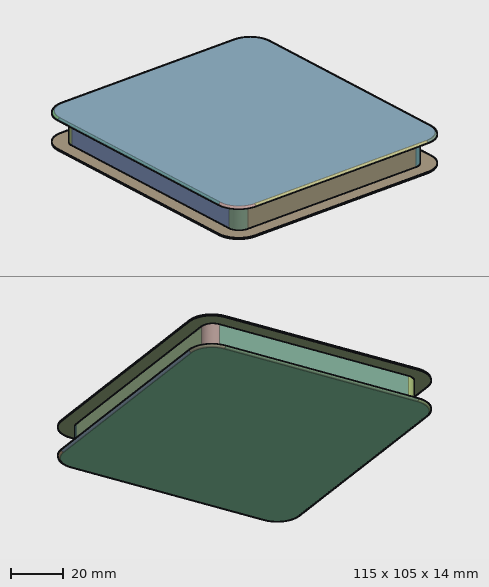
import cadquery as cq

length = 115.0
width = 105.0
height = 14.0

flange_thickness = 1.0
flange_corner_radius = 10.0
flange_rim_radius = 0.9

core_length = 103.0
core_width = 93.0
core_corner_radius = 5.0


def rounded_block(size_x, size_y, size_z, corner_radius):
    """Block standing on the XY plane with rounded vertical edges."""
    block = cq.Workplane("XY").box(size_x, size_y, size_z, centered=(True, True, False))
    return block.edges("|Z").fillet(corner_radius)


def make_top_flange():
    """Plate whose top rim is rounded, placed at the top of the part."""
    plate = rounded_block(length, width, flange_thickness, flange_corner_radius)
    plate = plate.faces(">Z").edges().fillet(flange_rim_radius)
    return plate.translate((0, 0, height / 2 - flange_thickness))


def make_core():
    """Block that spans the gap between the two flanges."""
    core_height = height - 2 * flange_thickness
    core = rounded_block(core_length, core_width, core_height, core_corner_radius)
    return core.translate((0, 0, -core_height / 2))


top_flange = make_top_flange()
bottom_flange = top_flange.mirror("XY")
result = make_core().union(top_flange).union(bottom_flange)